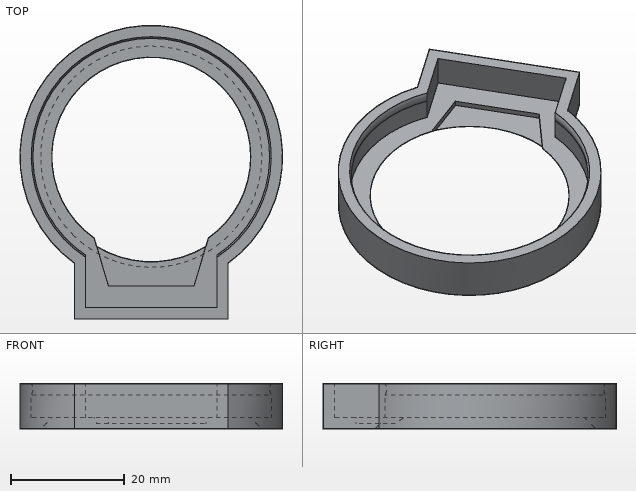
import cadquery as cq
import math

height = 8.0
wall = 2.0
outer_radius = 23.15
bore_radius = outer_radius - wall

box_width = 27.1
box_front_y = -28.6
inner_width = box_width - 2 * wall
inner_front_y = box_front_y + wall

floor_thickness = 2.0
opening_radius = 17.5
opening_flare_angle = 45.0

notch_depth = 1.0
notch_front_y = -22.75
notch_front_half_width = 7.55
notch_back_half_width = 10.05

bead_height = 2.0
bead_projection = 0.3


def keyhole(radius, width, front_y, bottom_z, depth):
    """Disc joined to a rectangle that reaches from its centre to front_y."""
    disc = cq.Workplane("XY").workplane(offset=bottom_z).circle(radius).extrude(depth)
    box = (
        cq.Workplane("XY")
        .workplane(offset=bottom_z)
        .center(0, front_y / 2)
        .rect(width, -front_y)
        .extrude(depth)
    )
    return disc.union(box)


def cavity():
    """Open-topped pocket that leaves the side wall and the floor."""
    return keyhole(bore_radius, inner_width, inner_front_y, floor_thickness, height - floor_thickness)


def floor_opening():
    """Round opening that flares outward toward the underside."""
    underside_radius = opening_radius + floor_thickness * math.tan(math.radians(opening_flare_angle))
    return (
        cq.Workplane("XY")
        .circle(underside_radius)
        .extrude(floor_thickness, taper=opening_flare_angle)
    )


def floor_notch():
    """Trapezoid that widens toward the opening, ending on its edge."""
    back_y = -math.sqrt(opening_radius**2 - notch_back_half_width**2)
    return (
        cq.Workplane("XY")
        .workplane(offset=floor_thickness - notch_depth)
        .moveTo(-notch_front_half_width, notch_front_y)
        .lineTo(notch_front_half_width, notch_front_y)
        .lineTo(notch_back_half_width, back_y)
        .lineTo(-notch_back_half_width, back_y)
        .close()
        .extrude(notch_depth)
    )


def retaining_bead():
    """Bead of arc section around the bore, interrupted at the compartment."""
    bottom_z = height - bead_height
    root_radius = bore_radius + wall / 2
    ring = (
        cq.Workplane("XZ")
        .moveTo(bore_radius, height)
        .threePointArc((bore_radius - bead_projection, height - bead_height / 2), (bore_radius, bottom_z))
        .lineTo(root_radius, bottom_z)
        .lineTo(root_radius, height)
        .close()
        .revolve(360, (0, 0, 0), (0, 1, 0))
    )
    gap = (
        cq.Workplane("XY")
        .center(0, inner_front_y / 2)
        .rect(inner_width, -inner_front_y)
        .extrude(height)
    )
    return ring.cut(gap)


body = keyhole(outer_radius, box_width, box_front_y, 0, height)
body = body.cut(cavity())
body = body.cut(floor_opening())
body = body.cut(floor_notch())
result = body.union(retaining_bead())